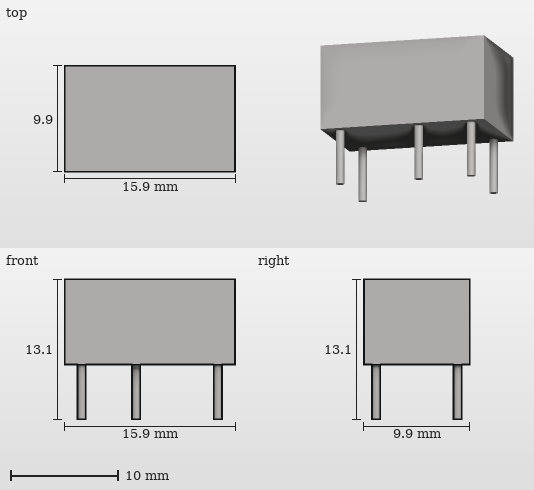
import cadquery as cq

housing_length = 15.9
housing_width = 9.9
housing_height = 8.0

total_height = 13.1
pin_length = total_height - housing_height
pin_diameter = 0.8

row_spacing = 7.62
pin_pitch = 2.55
end_pin_spacing = 5 * pin_pitch
left_x = -end_pin_spacing / 2
middle_x = left_x + 2 * pin_pitch
right_x = end_pin_spacing / 2
front_y = -row_spacing / 2
back_y = row_spacing / 2

pin_positions = [
    (left_x, front_y),
    (right_x, front_y),
    (left_x, back_y),
    (middle_x, back_y),
    (right_x, back_y),
]


def make_housing():
    return cq.Workplane("XY").box(
        housing_length, housing_width, housing_height, centered=(True, True, False)
    )


def make_pin(x, y):
    """A straight pin whose top touches the underside of the housing."""
    return cq.Workplane("XY").center(x, y).circle(pin_diameter / 2).extrude(-pin_length)


housing = make_housing()
pins = [make_pin(x, y) for x, y in pin_positions]

result = cq.Compound.makeCompound([housing.val(), *[pin.val() for pin in pins]])